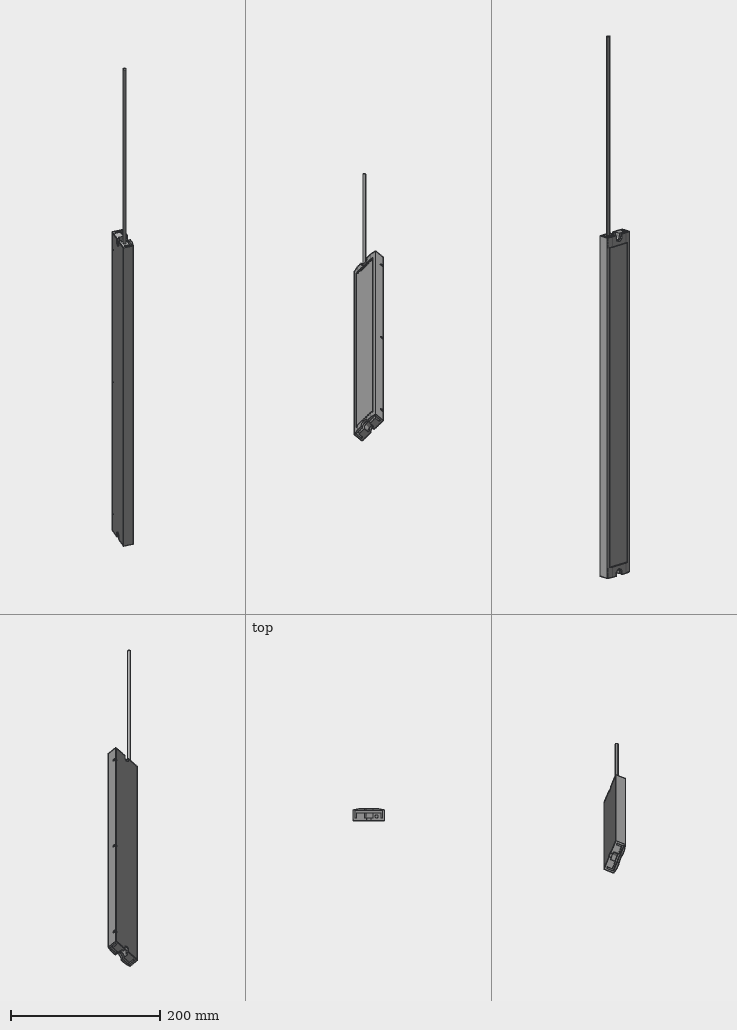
import cadquery as cq

WIDTH = 42.25
DEPTH = 16.2
HOUSING_LENGTH = 480.0
FRONT_CHAMFER = 0.6
FRONT_Y = -DEPTH / 2
BACK_Y = DEPTH / 2
BACK_SLOPE_DROP = 1.6
BACK_FLAT_WIDTH = 26.0

END_LENGTH = 14.5
CHANNEL_WIDTH = 33.0
CHANNEL_DEPTH = 1.5

POCKET_WIDTH = 37.0
POCKET_FLOOR_Y = 2.6
POCKET_ROOF_Y = 5.4
POCKET_LEG_WIDTH = 2.2
POCKET_LEG_Y = -4.6

NOTCH_WIDTH = 5.5
NOTCH_DEPTH = 9.0
RECESS_WIDTH = 11.0
FRONT_WALL = 3.8

SIDE_HOLE_DIAMETER = 4.3
SIDE_HOLE_DEPTH = 3.0
SIDE_HOLE_FROM_FRONT = 3.3
SIDE_HOLE_FROM_END = 27.0

CABLE_DIAMETER = 4.3
TOTAL_LENGTH = 760.0
CABLE_X = 10.5
CABLE_Y = -2.2


def make_bar():
    """Plain bar whose back face slopes down to both sides."""
    half_width = WIDTH / 2
    half_flat = BACK_FLAT_WIDTH / 2
    side_top_y = BACK_Y - BACK_SLOPE_DROP
    outline = [
        (-half_width, FRONT_Y),
        (half_width, FRONT_Y),
        (half_width, side_top_y),
        (half_flat, BACK_Y),
        (-half_flat, BACK_Y),
        (-half_width, side_top_y),
    ]
    return cq.Workplane("XY").polyline(outline).close().extrude(HOUSING_LENGTH)


def make_back_channel():
    floor = cq.Workplane("XY", origin=(0, BACK_Y - CHANNEL_DEPTH, END_LENGTH))
    length = HOUSING_LENGTH - 2 * END_LENGTH
    return floor.box(CHANNEL_WIDTH, CHANNEL_DEPTH, length, centered=(True, False, False))


def make_end_pocket(end_z):
    """U-shaped cutter centred on one end plane, so that half of it enters the bar."""
    base = cq.Workplane("XY", origin=(0, POCKET_LEG_Y, end_z))
    centring = (True, False, True)
    size_z = 2 * END_LENGTH
    block = base.box(POCKET_WIDTH, POCKET_ROOF_Y - POCKET_LEG_Y, size_z, centered=centring)
    core_width = POCKET_WIDTH - 2 * POCKET_LEG_WIDTH
    core = base.box(core_width, POCKET_FLOOR_Y - POCKET_LEG_Y, size_z, centered=centring)
    return block.cut(core)


def make_notch(end_z, width, start_y):
    """Round-bottomed slot open at one end of the bar, running from start_y to the back."""
    slot = cq.Workplane("XZ", origin=(0, start_y, end_z)).slot2D(2 * NOTCH_DEPTH, width, 90)
    return slot.extrude(start_y - BACK_Y)


def make_side_holes():
    """Row of blind holes in the -X side."""
    hole_y = FRONT_Y + SIDE_HOLE_FROM_FRONT
    heights = (SIDE_HOLE_FROM_END, HOUSING_LENGTH / 2, HOUSING_LENGTH - SIDE_HOLE_FROM_END)
    side = cq.Workplane("YZ", origin=(-WIDTH / 2, 0, 0))
    holes = side.pushPoints([(hole_y, z) for z in heights])
    return holes.circle(SIDE_HOLE_DIAMETER / 2).extrude(SIDE_HOLE_DEPTH)


def make_cable():
    upper_end = cq.Workplane("XY", origin=(CABLE_X, CABLE_Y, HOUSING_LENGTH))
    return upper_end.circle(CABLE_DIAMETER / 2).extrude(TOTAL_LENGTH - HOUSING_LENGTH)


end_planes = (0, HOUSING_LENGTH)
housing = make_bar()
for end_z in end_planes:
    housing = housing.cut(make_notch(end_z, NOTCH_WIDTH, FRONT_Y))
housing = housing.faces("<Y").chamfer(FRONT_CHAMFER)
for end_z in end_planes:
    housing = housing.cut(make_notch(end_z, RECESS_WIDTH, FRONT_Y + FRONT_WALL))
    housing = housing.cut(make_end_pocket(end_z))
housing = housing.cut(make_back_channel())
housing = housing.cut(make_side_holes())
result = housing.union(make_cable())